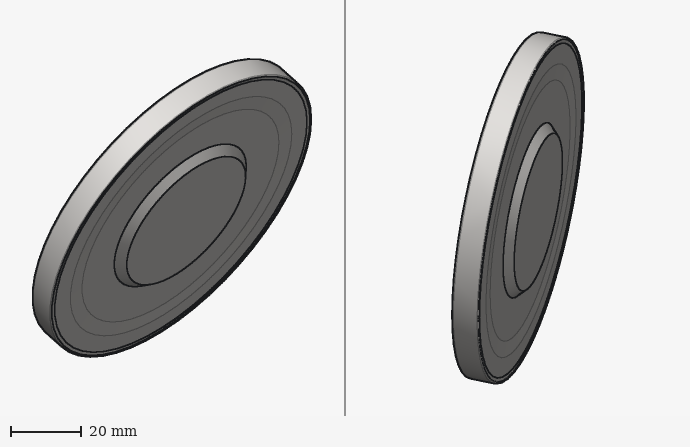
import cadquery as cq

AXIS_START = (0, 0, 0)
AXIS_END = (1, 0, 0)

hub_half_width = 6.0
hub_top_radius = 22.75

web_half_width = 3.5
web_radius = 37.65
band_half_width = 3.75
band_inner_radius = 42.35
disc_radius = 98.8 / 2

tread_radius = 50.0
tread_half_width = 4.0
tread_edge_fillet = 0.5
lip_inner_radius = 48.25

hub_base_radius = hub_top_radius + (hub_half_width - web_half_width)


def make_disc():
    right_side = [
        (hub_half_width, 0),
        (hub_half_width, hub_top_radius),
        (web_half_width, hub_base_radius),
        (web_half_width, web_radius),
        (band_half_width, band_inner_radius),
        (band_half_width, disc_radius),
    ]
    left_side = [(-x, radius) for x, radius in reversed(right_side)]
    profile = cq.Workplane("XY").polyline(right_side + left_side).close()
    return profile.revolve(360, AXIS_START, AXIS_END)


def make_tread():
    fillet_start_radius = tread_radius - tread_edge_fillet
    fillet_end_x = tread_half_width - tread_edge_fillet
    profile = (
        cq.Workplane("XY")
        .moveTo(-band_half_width, disc_radius)
        .lineTo(-band_half_width, lip_inner_radius)
        .lineTo(-tread_half_width, fillet_start_radius)
        .radiusArc((-fillet_end_x, tread_radius), tread_edge_fillet)
        .lineTo(fillet_end_x, tread_radius)
        .radiusArc((tread_half_width, fillet_start_radius), tread_edge_fillet)
        .lineTo(band_half_width, lip_inner_radius)
        .lineTo(band_half_width, disc_radius)
        .close()
    )
    return profile.revolve(360, AXIS_START, AXIS_END)


disc = make_disc()
tread = make_tread()
result = cq.Compound.makeCompound([disc.val(), tread.val()])